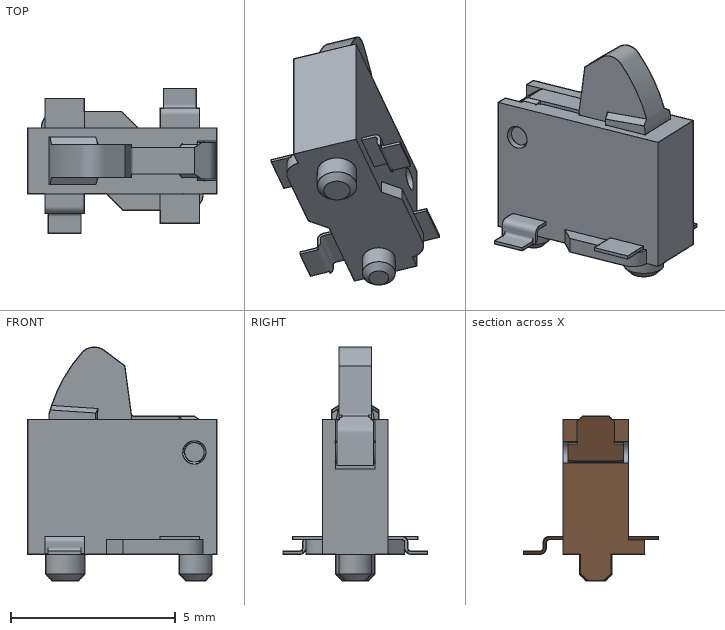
import cadquery as cq
import math

housing_length = 5.75
housing_width = 2.0
housing_height = 4.1
half_width = housing_width / 2

ledge_start = -0.48
ledge_end = 2.46
ledge_reach = 0.5
ledge_height = 0.45

peg_length = 0.8
peg_chamfer = 0.2
big_peg_diameter = 1.2
small_peg_diameter = 1.0
big_peg_x = -1.73
small_peg_x = 2.23

pivot_x = 2.19
pivot_z = 3.1
pivot_hole_diameter = 0.7
pivot_pin_diameter = 0.6
pivot_pin_recess = 0.15
notch_start = 2.285
notch_width = 1.2
notch_floor = 2.6

terminal_x = 1.75
terminal_thickness = 0.1
terminal_width = 1.2
terminal_bottom = ledge_height
terminal_top = terminal_bottom + terminal_thickness
flat_terminal_tip = 1.9
bent_leg_outer = 1.6
bent_leg_inner = bent_leg_outer - terminal_thickness
bend_inner_radius = 0.1
bend_outer_radius = bend_inner_radius + terminal_thickness
foot_width = 1.0
foot_tip = 2.2

lever_top = 6.3
nose_radius = 0.5
nose_x = -0.85
heel_x = 0.08
heel_z = 5.73
heel_foot_x = 0.285
lever_front_x = -2.225
lever_floor = pivot_z
body_width = 1.0

arm_width = 0.8
arm_top = 4.2
arm_fillet = 0.08

tail_width = 1.11
tail_start = 1.73
tail_taper = 0.12
tail_slope_start = pivot_x
tail_slope_end = 2.66
tail_slope_angle = 35
tail_back_draft = 5
tail_rounding = 0.25
tail_toe_x = 2.35
tail_bottom = 2.7

flange_width = 1.44
flange_end = -0.735
flange_taper = 0.07
flange_front_z = 4.53
flange_back_z = 4.43
flange_drop = 0.14


def on_circle(center_x, center_z, radius, angle):
    """Point on a circle in the XZ plane, angle in radians from +X towards +Z."""
    return center_x + radius * math.cos(angle), center_z + radius * math.sin(angle)


def extrude_across(outline, width):
    """Extrude an XZ outline symmetrically about the plane y = 0."""
    return outline.extrude(width / 2, both=True)


def finger_and_arm_outline():
    """Finger swept about the pivot, rounded nose, sloped heel and flat arm up to the tail."""
    nose_z = lever_top - nose_radius
    front_radius = math.hypot(nose_x - pivot_x, nose_z - pivot_z) + nose_radius
    nose_angle = math.atan2(nose_z - pivot_z, nose_x - pivot_x)
    front_angle = math.pi - math.acos((pivot_x - lever_front_x) / front_radius)

    heel_distance = math.hypot(heel_x - nose_x, heel_z - nose_z)
    heel_angle = math.atan2(heel_z - nose_z, heel_x - nose_x)
    tangent_angle = heel_angle + math.acos(nose_radius / heel_distance)

    front_mid_angle = (front_angle + nose_angle) / 2
    nose_mid_angle = (nose_angle + tangent_angle) / 2
    return (
        cq.Workplane("XZ")
        .moveTo(lever_front_x, lever_floor)
        .lineTo(*on_circle(pivot_x, pivot_z, front_radius, front_angle))
        .threePointArc(
            on_circle(pivot_x, pivot_z, front_radius, front_mid_angle),
            on_circle(pivot_x, pivot_z, front_radius, nose_angle),
        )
        .threePointArc(
            on_circle(nose_x, nose_z, nose_radius, nose_mid_angle),
            on_circle(nose_x, nose_z, nose_radius, tangent_angle),
        )
        .lineTo(heel_x, heel_z)
        .lineTo(heel_foot_x, arm_top)
        .lineTo(tail_slope_start, arm_top)
        .lineTo(tail_slope_start, lever_floor)
        .close()
    )


def make_finger_and_arm():
    """Wide finger in front of the heel, narrower arm behind it."""
    outline = extrude_across(finger_and_arm_outline(), body_width)
    outline = outline.edges(
        cq.selectors.NearestToPointSelector((heel_foot_x, 0, arm_top))
    ).fillet(arm_fillet)
    side_depth = (body_width - arm_width) / 2
    side_length = tail_slope_start - heel_foot_x
    for side in (-1, 1):
        side_cut = cq.Workplane("XY").box(
            side_length, side_depth, lever_top - lever_floor, centered=(False, True, False)
        )
        side_y = side * (arm_width + side_depth) / 2
        outline = outline.cut(side_cut.translate((heel_foot_x, side_y, lever_floor)))
    return outline


def make_flanges():
    """Guide flanges with a sloping, bevelled top and a tapered back end."""
    outline = (
        cq.Workplane("XZ")
        .moveTo(lever_front_x, lever_floor)
        .lineTo(lever_front_x, flange_front_z)
        .lineTo(flange_end, flange_back_z)
        .lineTo(flange_end, lever_floor)
        .close()
    )
    flanges = extrude_across(outline, flange_width)

    outer = flange_width / 2
    inner = body_width / 2
    plan = cq.Workplane("XY").polyline([
        (lever_front_x, -outer),
        (flange_end - flange_taper, -outer),
        (flange_end, -inner),
        (flange_end, inner),
        (flange_end - flange_taper, outer),
        (lever_front_x, outer),
    ]).close().extrude(lever_top)

    section = cq.Workplane("YZ").polyline([
        (-outer, lever_floor),
        (-outer, flange_front_z - flange_drop),
        (-inner, flange_front_z),
        (inner, flange_front_z),
        (outer, flange_front_z - flange_drop),
        (outer, lever_floor),
    ]).close().extrude(flange_end - lever_front_x)
    tilt = math.degrees(math.atan2(flange_front_z - flange_back_z, flange_end - lever_front_x))
    bevel = (
        section.translate((lever_front_x, 0, 0))
        .rotate((lever_front_x, 0, flange_front_z), (lever_front_x, 1, flange_front_z), tilt)
    )
    bottom = cq.Workplane("XY").box(
        flange_end - lever_front_x, flange_width, housing_height - lever_floor, centered=(False, True, False)
    ).translate((lever_front_x, 0, lever_floor))
    flanges = flanges.intersect(plan).intersect(bevel.union(bottom))

    front_limit = extrude_across(finger_and_arm_outline(), flange_width)
    return flanges.intersect(front_limit)


def make_tail():
    """Wide tail over the pivot, with a bevelled top and a rounded rear end."""
    slope_end_z = arm_top - (tail_slope_end - tail_slope_start) * math.tan(math.radians(tail_slope_angle))

    slope_normal = math.radians(90 - tail_slope_angle)
    back_normal = math.radians(tail_back_draft)
    rounding_x = tail_slope_end - tail_rounding * math.cos(slope_normal)
    rounding_z = slope_end_z - tail_rounding * math.sin(slope_normal)
    rounding_mid = on_circle(rounding_x, rounding_z, tail_rounding, (slope_normal + back_normal) / 2)
    back_top = on_circle(rounding_x, rounding_z, tail_rounding, back_normal)
    back_bottom_x = back_top[0] + (back_top[1] - tail_bottom) * math.tan(back_normal)

    hub_radius = pivot_pin_diameter / 2
    toe_angle = -math.acos((tail_toe_x - pivot_x) / hub_radius)
    hub_mid_angle = (toe_angle - math.pi) / 2

    outline = (
        cq.Workplane("XZ")
        .moveTo(tail_start, lever_floor)
        .lineTo(tail_start, arm_top)
        .lineTo(tail_slope_start, arm_top)
        .lineTo(tail_slope_end, slope_end_z)
        .threePointArc(rounding_mid, back_top)
        .lineTo(back_bottom_x, tail_bottom)
        .lineTo(tail_toe_x, tail_bottom)
        .lineTo(*on_circle(pivot_x, pivot_z, hub_radius, toe_angle))
        .threePointArc(
            on_circle(pivot_x, pivot_z, hub_radius, hub_mid_angle),
            (pivot_x - hub_radius, pivot_z),
        )
        .close()
    )
    tail = extrude_across(outline, tail_width)

    outer = tail_width / 2
    inner = arm_width / 2
    bevel = outer - inner
    section = cq.Workplane("YZ").polyline([
        (-outer, 0),
        (-outer, arm_top - bevel),
        (-inner, arm_top),
        (inner, arm_top),
        (outer, arm_top - bevel),
        (outer, 0),
    ]).close().extrude(housing_length)
    plan = cq.Workplane("XY").polyline([
        (tail_start, -inner),
        (tail_start + tail_taper, -outer),
        (back_bottom_x, -outer),
        (back_bottom_x, outer),
        (tail_start + tail_taper, outer),
        (tail_start, inner),
    ]).close().extrude(lever_top)
    return tail.intersect(section).intersect(plan)


def pivot_cylinder(diameter, length):
    """Cylinder along Y on the pivot axis."""
    circle = cq.Workplane("XZ").center(pivot_x, pivot_z).circle(diameter / 2)
    return extrude_across(circle, length)


def make_lever():
    pin = pivot_cylinder(pivot_pin_diameter, housing_width - 2 * pivot_pin_recess)
    return make_finger_and_arm().union(make_flanges()).union(make_tail()).union(pin)


def make_ledge():
    """Ledge on the -Y side: bevelled at one end, rounded at the other."""
    outer_y = -half_width - ledge_reach
    arc_offset = ledge_reach * math.sqrt(0.5)
    return (
        cq.Workplane("XY")
        .moveTo(ledge_start, -half_width)
        .lineTo(ledge_start + ledge_reach, outer_y)
        .lineTo(ledge_end - ledge_reach, outer_y)
        .threePointArc(
            (ledge_end - ledge_reach + arc_offset, -half_width - arc_offset),
            (ledge_end, -half_width),
        )
        .lineTo(ledge_end, 0)
        .lineTo(ledge_start, 0)
        .close()
        .extrude(ledge_height)
    )


def make_peg(x, diameter):
    peg = cq.Workplane("XY").center(x, 0).circle(diameter / 2).extrude(-peg_length)
    return peg.faces("<Z").chamfer(peg_chamfer)


def half_turn(shape):
    """Same shape turned half a turn about the Z axis."""
    return shape.rotate((0, 0, 0), (0, 0, 1), 180)


def make_housing(lever):
    """Block with ledges and pegs, recessed to fit the lever and its pivot pin."""
    block = cq.Workplane("XY").box(
        housing_length, housing_width, housing_height, centered=(True, True, False)
    )
    ledge = make_ledge()
    block = block.union(ledge).union(half_turn(ledge))
    block = block.union(make_peg(big_peg_x, big_peg_diameter))
    block = block.union(make_peg(small_peg_x, small_peg_diameter))

    notch = cq.Workplane("XY").box(
        housing_length / 2 - notch_start,
        notch_width,
        housing_height - notch_floor,
        centered=(False, True, False),
    ).translate((notch_start, 0, notch_floor))
    pivot_hole = pivot_cylinder(pivot_hole_diameter, housing_width)
    return block.cut(notch).cut(pivot_hole).cut(lever)


def make_flat_terminal():
    """Straight strip on the ledge of the -Y side."""
    length = flat_terminal_tip - half_width
    strip = cq.Workplane("XY").box(
        terminal_width, length, terminal_thickness, centered=(True, False, False)
    )
    return strip.translate((terminal_x, -flat_terminal_tip, terminal_bottom))


def make_bent_terminal():
    """Gull-wing strip on the -Y side, stepping down to a narrower foot."""
    foot_bend_y = bent_leg_outer + bend_inner_radius
    top_bend_y = bent_leg_inner - bend_inner_radius
    outline = (
        cq.Workplane("YZ")
        .moveTo(-half_width, terminal_top)
        .lineTo(-top_bend_y, terminal_top)
        .radiusArc((-bent_leg_outer, terminal_top - bend_outer_radius), -bend_outer_radius)
        .lineTo(-bent_leg_outer, bend_outer_radius)
        .radiusArc((-foot_bend_y, terminal_thickness), bend_inner_radius)
        .lineTo(-foot_tip, terminal_thickness)
        .lineTo(-foot_tip, 0)
        .lineTo(-foot_bend_y, 0)
        .radiusArc((-bent_leg_inner, bend_outer_radius), -bend_outer_radius)
        .lineTo(-bent_leg_inner, terminal_bottom - bend_inner_radius)
        .radiusArc((-top_bend_y, terminal_bottom), bend_inner_radius)
        .lineTo(-half_width, terminal_bottom)
        .close()
    )
    strip = outline.extrude(terminal_width / 2, both=True)
    shoulder_width = (terminal_width - foot_width) / 2
    foot_length = foot_tip - bent_leg_outer
    for side in (-1, 1):
        shoulder = cq.Workplane("XY").box(
            shoulder_width, foot_length, terminal_top, centered=(True, False, False)
        )
        shoulder_x = side * (foot_width + shoulder_width) / 2
        strip = strip.cut(shoulder.translate((shoulder_x, -foot_tip, 0)))
    return strip.translate((-terminal_x, 0, 0))


lever = make_lever()
housing = make_housing(lever)

terminals = []
for terminal in (make_flat_terminal(), make_bent_terminal()):
    terminals.append(terminal.val())
    terminals.append(half_turn(terminal).val())

result = cq.Compound.makeCompound([housing.val(), lever.val(), *terminals])